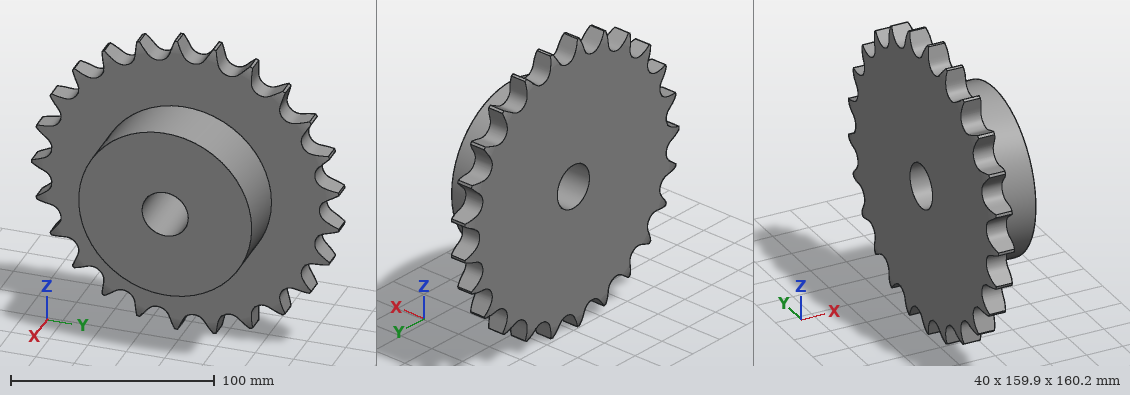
import cadquery as cq
import math


TOOTH_COUNT = 25
CHAIN_PITCH = 19.0
OVERALL_HEIGHT = 160.2
SEAT_RADIUS = 6.1
SEAT_HALF_ANGLE = 52.6
SEAT_FLAT = 0.3
FLANK_RADIUS = 15.5
FLANK_TURN = 8

DISC_THICKNESS = 11.0
TOTAL_LENGTH = 40
HUB_DIAMETER = 90.0
BORE_DIAMETER = 24

ROUNDING_START_RADIUS = 73.9
ROUNDING_ARC_RADIUS = CHAIN_PITCH

CUT_MARGIN = 3.2

TOOTH_ANGLE = 360 / TOOTH_COUNT
PITCH_RADIUS = CHAIN_PITCH / 2 / math.sin(math.pi / TOOTH_COUNT)
ROOT_RADIUS = PITCH_RADIUS - SEAT_RADIUS


def step(point, heading, length):
    """Point reached from `point`; heading is in degrees from the gap's tangential direction."""
    angle = math.radians(heading)
    return (point[0] + length * math.cos(angle), point[1] + length * math.sin(angle))


def arc_point(start, heading, radius, turn):
    """Point on a left-turning arc after `turn` degrees, leaving `start` along `heading`."""
    chord = 2 * radius * math.sin(math.radians(turn / 2))
    return step(start, heading + turn / 2, chord)


def mirrored(point):
    return (-point[0], point[1])


GAP_BOTTOM = (SEAT_FLAT / 2, ROOT_RADIUS)
SEAT_MIDDLE = arc_point(GAP_BOTTOM, 0, SEAT_RADIUS, SEAT_HALF_ANGLE / 2)
SEAT_END = arc_point(GAP_BOTTOM, 0, SEAT_RADIUS, SEAT_HALF_ANGLE)
FLANK_MIDDLE = arc_point(SEAT_END, SEAT_HALF_ANGLE, FLANK_RADIUS, FLANK_TURN / 2)
FLANK_START = arc_point(SEAT_END, SEAT_HALF_ANGLE, FLANK_RADIUS, FLANK_TURN)
FLANK_HEADING = SEAT_HALF_ANGLE + FLANK_TURN

AXIS_OFFSET = TOOTH_ANGLE / 4
AXIS_LEAN = math.radians(AXIS_OFFSET)
FLANK_START_HEIGHT = FLANK_START[0] * math.sin(AXIS_LEAN) + FLANK_START[1] * math.cos(AXIS_LEAN)
FLANK_CLIMB = math.sin(math.radians(FLANK_HEADING + AXIS_OFFSET))
TIP_CORNER = step(FLANK_START, FLANK_HEADING, (OVERALL_HEIGHT / 2 - FLANK_START_HEIGHT) / FLANK_CLIMB)
TIP_RADIUS = math.hypot(*TIP_CORNER)


def gap_cutter():
    """Space between two teeth, symmetric about the local Y axis of the YZ plane."""
    outer = step(TIP_CORNER, FLANK_HEADING, CUT_MARGIN)
    return (
        cq.Workplane("YZ")
        .moveTo(*mirrored(GAP_BOTTOM))
        .lineTo(*GAP_BOTTOM)
        .threePointArc(SEAT_MIDDLE, SEAT_END)
        .threePointArc(FLANK_MIDDLE, FLANK_START)
        .lineTo(*outer)
        .lineTo(*mirrored(outer))
        .lineTo(*mirrored(FLANK_START))
        .threePointArc(mirrored(FLANK_MIDDLE), mirrored(SEAT_END))
        .threePointArc(mirrored(SEAT_MIDDLE), mirrored(GAP_BOTTOM))
        .close()
        .extrude(DISC_THICKNESS)
    )


def rounding_inset(radius):
    """Distance the rounded tooth side has moved in from the disc face at a given radius."""
    rise = radius - ROUNDING_START_RADIUS
    return ROUNDING_ARC_RADIUS - math.sqrt(ROUNDING_ARC_RADIUS**2 - rise**2)


def disc_blank():
    """Disc revolved about X, with its rim rounded in from both faces."""
    middle_radius = (ROUNDING_START_RADIUS + TIP_RADIUS) / 2
    middle_inset = rounding_inset(middle_radius)
    tip_inset = rounding_inset(TIP_RADIUS)
    return (
        cq.Workplane("XY")
        .lineTo(0, ROUNDING_START_RADIUS)
        .threePointArc((middle_inset, middle_radius), (tip_inset, TIP_RADIUS))
        .lineTo(DISC_THICKNESS - tip_inset, TIP_RADIUS)
        .threePointArc(
            (DISC_THICKNESS - middle_inset, middle_radius),
            (DISC_THICKNESS, ROUNDING_START_RADIUS),
        )
        .lineTo(DISC_THICKNESS, 0)
        .close()
        .revolve(360, (0, 0, 0), (1, 0, 0))
    )


def toothed_disc():
    """Disc with its gaps cut; one tooth is centred on the -Y direction."""
    disc = disc_blank()
    cutter = gap_cutter()
    first_gap_angle = 90 + TOOTH_ANGLE / 2
    for index in range(TOOTH_COUNT):
        angle = first_gap_angle + index * TOOTH_ANGLE
        disc = disc.cut(cutter.rotate((0, 0, 0), (1, 0, 0), angle))
    return disc


hub = cq.Workplane("YZ").circle(HUB_DIAMETER / 2).extrude(TOTAL_LENGTH)
bore = cq.Workplane("YZ").circle(BORE_DIAMETER / 2).extrude(TOTAL_LENGTH)

result = toothed_disc().union(hub).cut(bore)